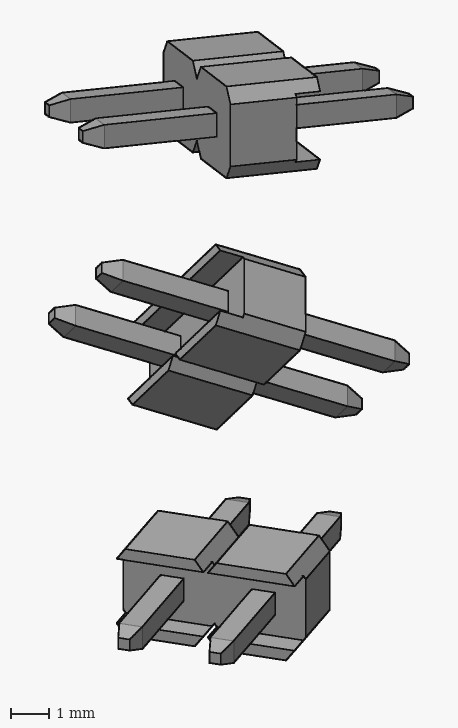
import cadquery as cq

pin_count = 2
pitch = 2.54
housing_height = 2.5
corner_x = 0.3
corner_z = 0.405

housing_front = -0.93
web_back = 0.91
housing_back = 1.59
lip_thickness = 0.32

pin_length = 9.2
pin_width = 0.64
tip_width = 0.32
tip_length = 0.53
pin_offset = -0.09


def housing_cell(center_x):
    """Octagonal cell, recessed at the back to leave a lip above and below."""
    half_x = pitch / 2
    half_z = housing_height / 2
    outline = [
        (-half_x, half_z - corner_z),
        (-half_x + corner_x, half_z),
        (half_x - corner_x, half_z),
        (half_x, half_z - corner_z),
        (half_x, -half_z + corner_z),
        (half_x - corner_x, -half_z),
        (-half_x + corner_x, -half_z),
        (-half_x, -half_z + corner_z),
    ]
    cell = (
        cq.Workplane("XZ", origin=(0, housing_front, 0))
        .polyline(outline)
        .close()
        .extrude(-(housing_back - housing_front))
    )
    recess = cq.Workplane("XY").box(
        pitch, housing_back - web_back, housing_height - 2 * lip_thickness
    ).translate((0, (web_back + housing_back) / 2, 0))
    return cell.cut(recess).translate((center_x, 0, 0))


def pin(center_x):
    """Square pin with a pyramidal taper at each end."""
    shank_length = pin_length - 2 * tip_length
    shank = cq.Workplane("XY").box(pin_width, shank_length, pin_width)
    front_tip = (
        cq.Workplane("XZ", origin=(0, -shank_length / 2, 0))
        .rect(pin_width, pin_width)
        .workplane(offset=tip_length)
        .rect(tip_width, tip_width)
        .loft(ruled=True)
    )
    back_tip = front_tip.mirror("XZ")
    return shank.union(front_tip).union(back_tip).translate((center_x, 0, 0))


pin_positions = [(i - (pin_count - 1) / 2) * pitch for i in range(pin_count)]

result = housing_cell(pin_positions[0])
for x in pin_positions[1:]:
    result = result.union(housing_cell(x))
for x in pin_positions:
    result = result.union(pin(x + pin_offset))